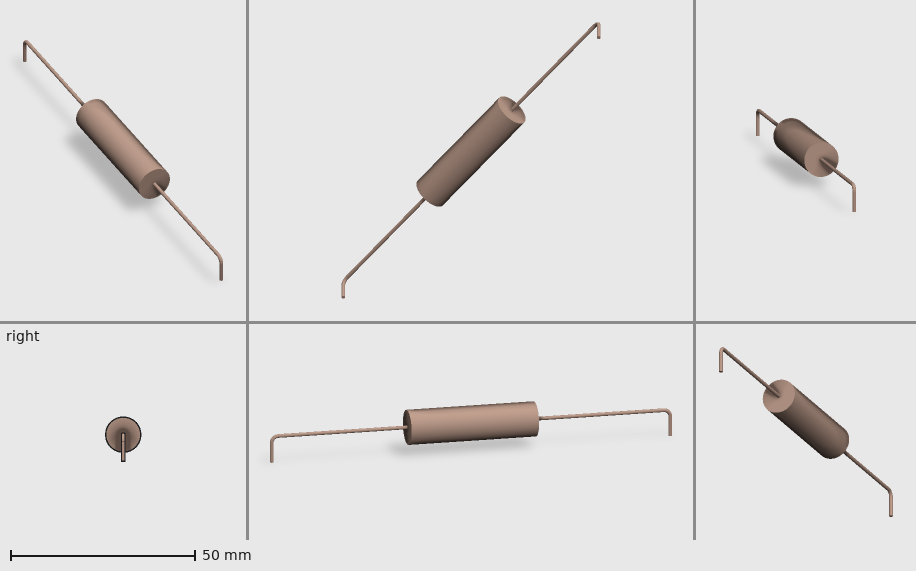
import cadquery as cq

overall_length = 112.7
body_diameter = 9.6
body_length = 35.7
lead_diameter = 1.0
bend_radius = 1.8
overall_height = 12.0

lead_drop = overall_height - body_diameter / 2
lead_reach = (overall_length - lead_diameter) / 2


def make_body():
    """Plain cylinder centred on the origin."""
    return (
        cq.Workplane("YZ")
        .workplane(offset=-body_length / 2)
        .circle(body_diameter / 2)
        .extrude(body_length)
    )


def make_lead(side):
    """Round wire from one end face, bent down; side is +1 or -1 along X."""
    start_x = side * body_length / 2
    bend_start_x = side * (lead_reach - bend_radius)
    leg_x = side * lead_reach
    path = (
        cq.Workplane("XZ")
        .moveTo(start_x, 0)
        .lineTo(bend_start_x, 0)
        .tangentArcPoint((leg_x, -bend_radius), relative=False)
        .lineTo(leg_x, -lead_drop)
    )
    return (
        cq.Workplane("YZ")
        .workplane(offset=start_x)
        .circle(lead_diameter / 2)
        .sweep(path)
    )


body = make_body()
leads = [make_lead(side) for side in (-1, 1)]

result = cq.Compound.makeCompound([body.val(), *[lead.val() for lead in leads]])